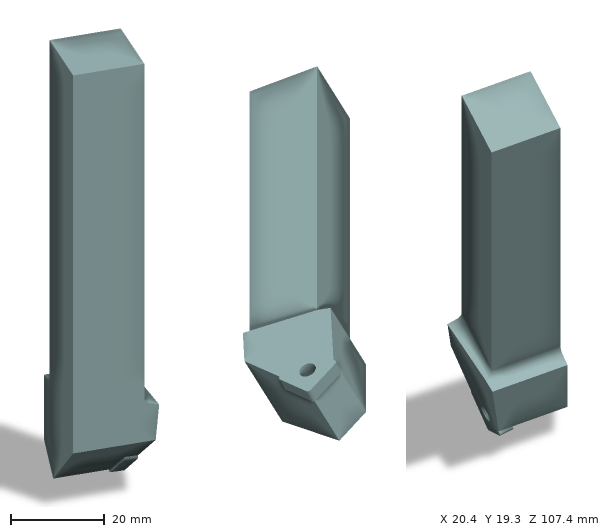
import cadquery as cq
import math


TOTAL_LENGTH = 107.4
SHANK_SIZE = 16.0
HEAD_WIDTH = 19.9
HEAD_DEPTH = 19.3
HEAD_TOP_Z = 23.1
NOSE_X = -13.5
NOSE_Z = 1.0
SHOULDER_RADIUS = 1.6
SIDE_SHOULDER_SLOPE = math.radians(10)
BACK_SHOULDER_SLOPE = math.radians(18)

RAKE_ACROSS = 0.095
RAKE_DOWN = 0.09

INSERT_SIDE = 9.6
INSERT_THICKNESS = 3.2
INSERT_CORNER_RADIUS = 0.8
INSERT_HOLE_DIAMETER = 3.8
CORNER_DOWN_ANGLE = 45
INSERT_TIP_X = -14.0

LEFT_X = -HEAD_WIDTH
NOSE_LEFT_Z = NOSE_Z + NOSE_X - LEFT_X
NOSE_RIGHT_Z = NOSE_Z - NOSE_X


def back_face_y(x, z):
    """Depth of the tilted back face at a given X and Z."""
    return HEAD_DEPTH + RAKE_ACROSS * x + RAKE_DOWN * (z - HEAD_TOP_Z)


INSERT_TIP_REACH = INSERT_SIDE / math.sqrt(2) - INSERT_CORNER_RADIUS * (math.sqrt(2) - 1)
INSERT_CENTER = (INSERT_TIP_X, back_face_y(INSERT_TIP_X, INSERT_TIP_REACH), INSERT_TIP_REACH)
BACK_PLANE = cq.Plane(
    origin=INSERT_CENTER, xDir=(1, RAKE_ACROSS, 0), normal=(-RAKE_ACROSS, 1, -RAKE_DOWN)
)


def shoulder(sketch, outer, wall, slope):
    """Draw from the outer shoulder edge up the slope and round into the vertical shank wall."""
    inward = 1 if wall > outer else -1
    center = wall - inward * SHOULDER_RADIUS
    tangent = center + inward * SHOULDER_RADIUS * math.sin(slope)
    tangent_z = HEAD_TOP_Z + abs(tangent - outer) * math.tan(slope)
    center_z = tangent_z + SHOULDER_RADIUS * math.cos(slope)
    middle_angle = (math.pi / 2 - slope) / 2
    middle = (center + inward * SHOULDER_RADIUS * math.cos(middle_angle),
              center_z - SHOULDER_RADIUS * math.sin(middle_angle))
    return (
        sketch.lineTo(outer, HEAD_TOP_Z)
        .lineTo(tangent, tangent_z)
        .threePointArc(middle, (wall, center_z))
        .lineTo(wall, TOTAL_LENGTH)
    )


def make_holder_blank():
    """Common volume of the front outline and the side outline, cut by the tilted back face."""
    front = cq.Workplane("XZ").moveTo(NOSE_X, NOSE_Z).lineTo(LEFT_X, NOSE_LEFT_Z)
    front = shoulder(front, LEFT_X, -SHANK_SIZE, SIDE_SHOULDER_SLOPE)
    front = front.lineTo(0, TOTAL_LENGTH).lineTo(0, NOSE_RIGHT_Z).close()
    front_body = front.extrude(-HEAD_DEPTH)

    side = cq.Workplane("YZ").moveTo(0, 0).lineTo(HEAD_DEPTH, 0)
    side = shoulder(side, HEAD_DEPTH, SHANK_SIZE, BACK_SHOULDER_SLOPE)
    side = side.lineTo(0, TOTAL_LENGTH).close()
    blank = front_body.intersect(side.extrude(-HEAD_WIDTH))

    back_waste = (
        cq.Workplane(BACK_PLANE)
        .rect(2 * TOTAL_LENGTH, 2 * TOTAL_LENGTH)
        .extrude(HEAD_DEPTH)
    )
    return blank.cut(back_waste)


def make_insert_block():
    """Rounded square with one corner pointing down, lying below the tilted face."""
    return (
        cq.Workplane(BACK_PLANE)
        .transformed(rotate=(0, 0, CORNER_DOWN_ANGLE))
        .rect(INSERT_SIDE, INSERT_SIDE)
        .extrude(-INSERT_THICKNESS)
        .edges(cq.selectors.ParallelDirSelector(BACK_PLANE.zDir))
        .fillet(INSERT_CORNER_RADIUS)
    )


insert_block = make_insert_block()
holder = make_holder_blank().cut(insert_block)
insert_hole = cq.Workplane(BACK_PLANE).circle(INSERT_HOLE_DIAMETER / 2).extrude(-INSERT_THICKNESS)
insert = insert_block.cut(insert_hole)

result = cq.Compound.makeCompound([holder.val(), insert.val()])